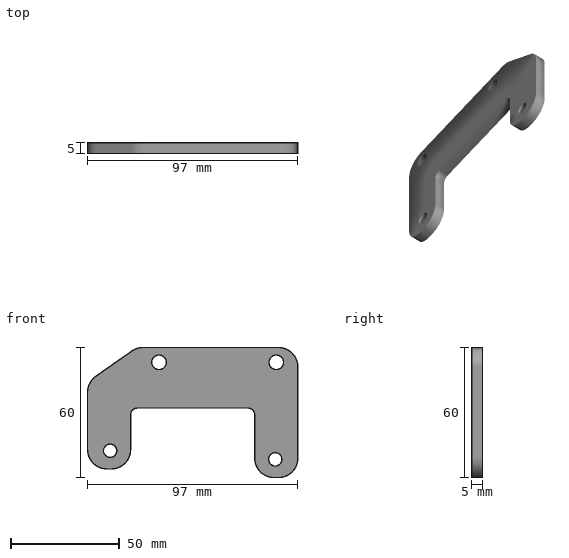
import cadquery as cq

width = 97.0
height = 60.0
thickness = 5.0

leg_width = 20.0
left_leg_rise = 4.0
opening_depth = 28.0

slope_run = 22.8
slope_drop = 16.0

outer_radius = 9.0
inner_radius = 3.0

upper_hole_diameter = 6.6
lower_hole_diameter = 6.0
upper_hole_drop = 6.9
upper_left_hole_inset = 33.0
upper_right_hole_inset = 10.0
lower_left_hole_inset = 10.5
lower_right_hole_inset = 10.5
lower_hole_rise = 8.4

left = -width / 2
right = width / 2
opening_left = left + leg_width
opening_right = right - leg_width
opening_top = height - opening_depth


def front_workplane():
    """XZ plane on the far face, so that positive extrusion runs toward -Y."""
    return cq.Workplane("XZ", origin=(0, thickness / 2, 0))


def round_corners(plate, corners, radius):
    """Fillet the through-thickness edges whose midpoints lie at the given XZ corners."""
    edges = [plate.edges(cq.NearestToPointSelector((x, 0, z))).val() for x, z in corners]
    return plate.newObject(edges).fillet(radius)


def make_plate():
    outline = [
        (left, left_leg_rise),
        (opening_left, left_leg_rise),
        (opening_left, opening_top),
        (opening_right, opening_top),
        (opening_right, 0),
        (right, 0),
        (right, height),
        (left + slope_run, height),
        (left, height - slope_drop),
    ]
    inner_corners = [
        (opening_left, opening_top),
        (opening_right, opening_top),
    ]
    outer_corners = [point for point in outline if point not in inner_corners]

    plate = front_workplane().polyline(outline).close().extrude(thickness)
    plate = round_corners(plate, inner_corners, inner_radius)
    return round_corners(plate, outer_corners, outer_radius)


def make_holes(points, diameter):
    return front_workplane().pushPoints(points).circle(diameter / 2).extrude(thickness)


upper_hole_z = height - upper_hole_drop
upper_holes = [
    (left + upper_left_hole_inset, upper_hole_z),
    (right - upper_right_hole_inset, upper_hole_z),
]
lower_holes = [
    (left + lower_left_hole_inset, left_leg_rise + lower_hole_rise),
    (right - lower_right_hole_inset, lower_hole_rise),
]

result = (
    make_plate()
    .cut(make_holes(upper_holes, upper_hole_diameter))
    .cut(make_holes(lower_holes, lower_hole_diameter))
)